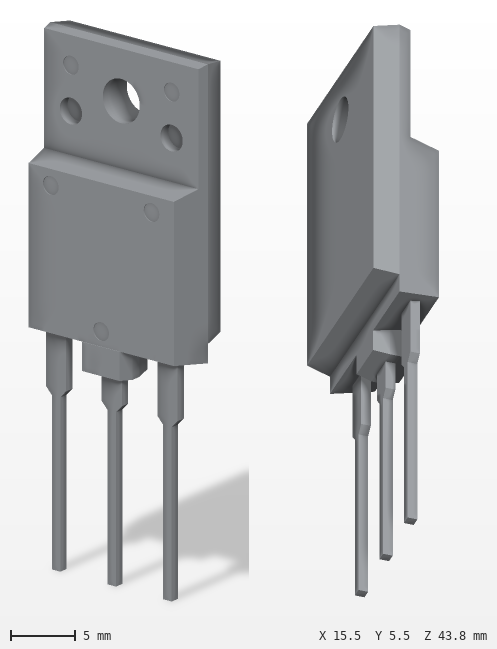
import cadquery as cq
import math


draft_angle = 10.0
draft_slope = math.tan(math.radians(draft_angle))

total_height = 43.8
housing_width = 15.5
front_bottom = 19.3
back_bottom = 20.9
back_depth = 2.0
front_depth = 3.45
tab_depth = 0.95
step_z = 33.8

boss_width = 4.1
boss_bottom = 17.3
boss_depth = 3.5
boss_band = 0.88
boss_top = front_bottom + front_depth * draft_slope

mount_hole_diameter = 3.65
mount_hole_z = 39.35
pocket_diameter = 2.2
pocket_z = 37.4

mark_diameter = 1.55
mark_recess = 0.1
tab_mark_z = 41.17
upper_mark_z = 32.0
lower_mark_z = 21.15
side_x = 4.95

lead_pitch = 5.48
lead_thickness = 0.8
lead_depth = boss_depth / 2
shoulder_width = 1.95
leg_width = 0.85
taper_top = 14.9
leg_top = 14.3
lead_embed = 1.3
shoulder_top = front_bottom + lead_embed

ejector_marks = [
    (-side_x, tab_depth, tab_mark_z),
    (side_x, tab_depth, tab_mark_z),
    (-side_x, front_depth, upper_mark_z),
    (side_x, front_depth, upper_mark_z),
    (0, front_depth, lower_mark_z),
]


def rectangle_wire(width, bottom, top, y):
    """Upright rectangle centred on X = 0 in the plane at the given Y."""
    half = width / 2
    corners = [(-half, bottom), (half, bottom), (half, top), (-half, top)]
    return cq.Wire.makePolygon([cq.Vector(x, y, z) for x, z in corners], close=True)


def tapered_block(width, bottom, top, y_start, y_end):
    """Block that narrows on all four sides by the draft from y_start to y_end."""
    inset = abs(y_end - y_start) * draft_slope
    large = rectangle_wire(width, bottom, top, y_start)
    small = rectangle_wire(width - 2 * inset, bottom + inset, top - inset, y_end)
    return cq.Workplane(cq.Solid.makeLoft([large, small], True))


def bore(x, depth, z, diameter, length):
    """Cylinder that starts on a front face at the given depth and runs toward +Y."""
    start = cq.Vector(x, -depth, z)
    return cq.Workplane(cq.Solid.makeCylinder(diameter / 2, length, start, cq.Vector(0, 1, 0)))


def lead_plate(outline, x):
    """Plate of lead thickness from an X-Z outline, moved to one lead position."""
    plate = cq.Workplane("XZ").polyline(outline).close().extrude(lead_thickness / 2, both=True)
    return plate.translate((x, -lead_depth, 0))


def make_step_cut():
    """Space in front of the tab, bounded below by the drafted step."""
    reach = 2 * front_depth
    outer_step_z = step_z - (reach - tab_depth) * draft_slope
    cut_top = total_height + reach
    profile = [(-tab_depth, step_z), (-tab_depth, cut_top), (-reach, cut_top), (-reach, outer_step_z)]
    return cq.Workplane("YZ").polyline(profile).close().extrude(housing_width, both=True)


def make_mount_hole():
    return bore(0, tab_depth, mount_hole_z, mount_hole_diameter, tab_depth + back_depth)


def make_front_blank():
    """Front half with its step, before any holes."""
    blank = tapered_block(housing_width, front_bottom, total_height, 0, -front_depth)
    return blank.cut(make_step_cut())


def make_front_half(shoulders):
    """Front half; its pockets run through the tab and its recesses fit the lead shoulders."""
    front = make_front_blank().cut(make_mount_hole())
    for x in (-side_x, side_x):
        front = front.cut(bore(x, tab_depth, pocket_z, pocket_diameter, tab_depth))
    for x, depth, z in ejector_marks:
        front = front.cut(bore(x, depth, z, mark_diameter, mark_recess))
    for shoulder in shoulders:
        front = front.cut(shoulder)
    return front


def make_back_half():
    back = tapered_block(housing_width, back_bottom, total_height, 0, back_depth)
    return back.cut(make_mount_hole())


def make_boss(shoulders):
    """Boss against the underside of the front half: a straight band with a draft to each side."""
    taper_depth = (boss_depth - boss_band) / 2
    blank_top = boss_top + taper_depth * draft_slope
    band_front = taper_depth - boss_depth
    band_back = -taper_depth
    front_taper = tapered_block(boss_width, boss_bottom, blank_top, band_front, -boss_depth)
    back_taper = tapered_block(boss_width, boss_bottom, blank_top, band_back, 0)
    outline = rectangle_wire(boss_width, boss_bottom, blank_top, band_front)
    band = cq.Workplane(cq.Solid.extrudeLinear(outline, [], cq.Vector(0, boss_band, 0)))
    boss = band.union(front_taper).union(back_taper).cut(make_front_blank())
    for shoulder in shoulders:
        boss = boss.cut(shoulder)
    return boss


def make_shoulder(x):
    wide = shoulder_width / 2
    narrow = leg_width / 2
    right_side = [(narrow, leg_top), (wide, taper_top), (wide, shoulder_top)]
    left_side = [(-px, pz) for px, pz in reversed(right_side)]
    return lead_plate(right_side + left_side, x)


def make_leg(x):
    half = leg_width / 2
    return lead_plate([(-half, 0), (half, 0), (half, leg_top), (-half, leg_top)], x)


lead_places = (-lead_pitch, 0, lead_pitch)
shoulders = [make_shoulder(x) for x in lead_places]
legs = [make_leg(x) for x in lead_places]
front_half = make_front_half(shoulders)
back_half = make_back_half()
boss = make_boss(shoulders)

result = cq.Compound.makeCompound([
    front_half.solids().val(),
    back_half.solids().val(),
    boss.solids().val(),
    *[shoulder.solids().val() for shoulder in shoulders],
    *[leg.solids().val() for leg in legs],
])